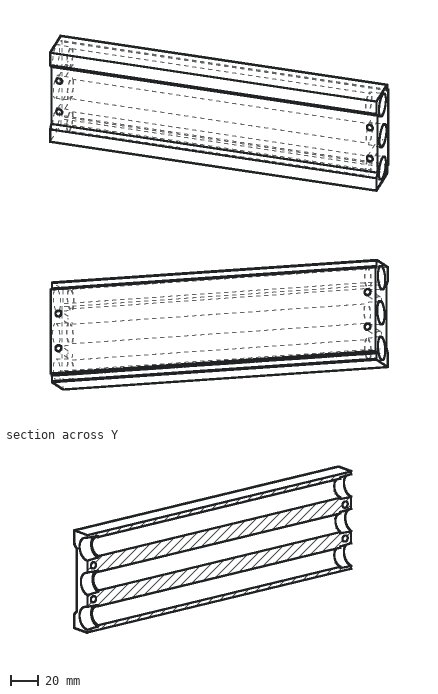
import cadquery as cq

length = 250.0
thickness = 30.0
height = 75.0
front_y = -thickness / 2
back_y = thickness / 2
top_z = height / 2

channel_depth = 3.0
channel_floor_half_height = 24.0
channel_mouth_half_height = channel_floor_half_height + channel_depth

pad_half_height = 31.5
pad_step = 2.8
foot_depth = 1.0
foot_height = 1.2
back_corner_chamfer = 0.8

bore_diameter = 14.2
socket_mouth_diameter = 17.2
socket_floor_diameter = 16.2
socket_depth = 10.5
bore_pitch = 26.5
middle_bore_y = 1.5

mount_diameter = 4.5
mount_end_distance = 6.0
mount_spacing_x = length - 2 * mount_end_distance
mount_spacing_z = 26.0


def make_body():
    """Extrude the cross-section, mirrored about its mid-height, along X."""
    shoulder_y = back_y - pad_step
    upper_half = [
        (front_y + channel_depth, channel_floor_half_height),
        (front_y, channel_mouth_half_height),
        (front_y, top_z),
        (shoulder_y - back_corner_chamfer, top_z),
        (shoulder_y, top_z - back_corner_chamfer),
        (shoulder_y, pad_half_height + foot_height),
        (shoulder_y + foot_depth, pad_half_height),
        (back_y, pad_half_height),
    ]
    lower_half = [(y, -z) for y, z in reversed(upper_half)]
    section = cq.Workplane("YZ").polyline(upper_half + lower_half).close()
    return section.extrude(length / 2, both=True)


def make_bore(y, z):
    """Solid that removes one full-length bore and the tapered sockets at its ends."""
    socket_floor_x = length / 2 - socket_depth
    half_outline = [
        (0, 0),
        (0, bore_diameter / 2),
        (socket_floor_x, bore_diameter / 2),
        (socket_floor_x, socket_floor_diameter / 2),
        (length / 2, socket_mouth_diameter / 2),
        (length / 2, 0),
    ]
    half_bore = cq.Workplane("XY").polyline(half_outline).close().revolve(360, (0, 0), (1, 0))
    return half_bore.union(half_bore.mirror("YZ")).translate((0, y, z))


def make_mount_holes():
    """Four pins that remove the mounting holes near the ends."""
    return (
        cq.Workplane("XZ")
        .rarray(mount_spacing_x, mount_spacing_z, 2, 2)
        .circle(mount_diameter / 2)
        .extrude(thickness, both=True)
    )


result = make_body()
for bore_y, bore_z in [(0, bore_pitch), (middle_bore_y, 0), (0, -bore_pitch)]:
    result = result.cut(make_bore(bore_y, bore_z))
result = result.cut(make_mount_holes())